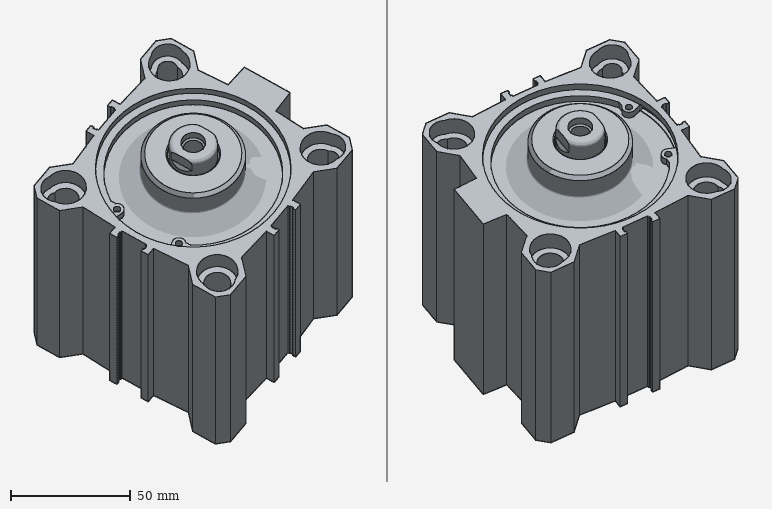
import cadquery as cq
import math


total_height = 124.0
rod_projection = 18.1
housing_height = total_height - rod_projection

half_side = 50.0
corner_chamfer = 4.6
lug_width = 16.1
lug_inset = 7.1
flank_face = half_side - lug_inset
wall_face = 43.9
rib_tip = 47.9
rib_outer = 9.8
side_root = flank_face
rib_inner = 6.2
rib_notch_depth = 0.5
rib_notch_start = 44.8
rib_notch_end = 46.4
boss_face = 55.0
boss_base_half_width = 12.2
boss_face_half_width = 11.7

bolt_offset = 38.6
bolt_diameter = 11.4
bolt_head_diameter = 17.4
relief_offset = 41.0
relief_diameter = 8.4
relief_head_diameter = 13.9
bolt_head_depth = 8.7

bore_diameter = 82.1
cover_diameter = 81.7
ring_diameter = 85.5
ring_inner_diameter = 75.1
ring_depth = 3.5
ring_thickness = 3.5
cover_depth = ring_depth + ring_thickness
cover_thickness = 12.4
bore_depth = cover_depth + cover_thickness
cone_diameter = 62.0
cone_rise = 5.3
cone_fillet = 1.0
collar_diameter = 44.0
collar_height = 10.3
collar_chamfer = 1.6
ring_lug_radius = 3.0
ring_lug_pitch_radius = 37.2
ring_lug_angle = 25.0
ring_lug_edge = 31.6
ring_hole_diameter = 3.0

rod_diameter = 20.6
rod_tip_fillet = 1.9
rod_relief_diameter = 22.0
rod_relief_depth = 2.5
rod_relief_chamfer = 0.5
flat_offset = 8.8
flat_height = 6.0
thread_diameter = 8.4
thread_entry_diameter = 10.3
thread_entry_depth = 3.7
thread_entry_taper = 0.5
thread_depth = 14.9
drill_point_angle = 118.0

bore_floor = housing_height - bore_depth
cover_face = housing_height - cover_depth
collar_top = housing_height + collar_height


def cylinder(diameter, bottom, top):
    """A cylinder on the Z axis between two levels."""
    return cq.Workplane("XY").workplane(offset=bottom).circle(diameter / 2).extrude(top - bottom)


def lugged_block():
    """Square block with a chamfered lug at each corner."""
    lug_start = half_side - lug_width
    flank_end = lug_start - lug_inset
    chamfer_start = half_side - corner_chamfer
    half_corner = [
        (chamfer_start, half_side),
        (lug_start, half_side),
        (flank_end, flank_face),
        (rib_outer, wall_face),
    ]
    mirrored = [(y, x) for x, y in reversed(half_corner)]
    corner = mirrored + half_corner
    outline = []
    for quarter in range(4):
        for x, y in corner:
            for _ in range(quarter):
                x, y = -y, x
            outline.append((x, y))
    return cq.Workplane("XY").polyline(outline).close().extrude(housing_height)


def sensor_rib():
    """One rib on the +X side, with the notch facing the rail's centre."""
    notch = rib_inner + rib_notch_depth
    return (
        cq.Workplane("XY")
        .polyline([
            (side_root, rib_inner),
            (rib_notch_start, rib_inner),
            (rib_notch_start, notch),
            (rib_notch_end, notch),
            (rib_notch_end, rib_inner),
            (rib_tip, rib_inner),
            (rib_tip, rib_outer),
            (side_root, rib_outer),
        ])
        .close()
        .extrude(housing_height)
    )


def port_boss():
    """Port boss on the +Y side, with slightly tapered flanks."""
    return (
        cq.Workplane("XY")
        .polyline([
            (-boss_base_half_width, side_root),
            (boss_base_half_width, side_root),
            (boss_face_half_width, boss_face),
            (-boss_face_half_width, boss_face),
        ])
        .close()
        .extrude(housing_height)
    )


def bolt_hole():
    """Stepped hole of the +X +Y corner."""
    hole = None
    head_floor = housing_height - bolt_head_depth
    for offset, diameter, head_diameter in (
        (bolt_offset, bolt_diameter, bolt_head_diameter),
        (relief_offset, relief_diameter, relief_head_diameter),
    ):
        stepped = cylinder(diameter, 0, housing_height).union(
            cylinder(head_diameter, head_floor, housing_height)
        )
        stepped = stepped.translate((offset, offset, 0))
        hole = stepped if hole is None else hole.union(stepped)
    return hole


def make_housing():
    body = lugged_block().union(port_boss())
    rib = sensor_rib()
    for rail_angle in (0, 180, 270):
        for one_rib in (rib, rib.mirror("XZ")):
            body = body.union(one_rib.rotate((0, 0, 0), (0, 0, 1), rail_angle))
    hole = bolt_hole()
    for corner_angle in (0, 90, 180, 270):
        body = body.cut(hole.rotate((0, 0, 0), (0, 0, 1), corner_angle))
    body = body.cut(cylinder(bore_diameter, bore_floor, housing_height))
    return body.cut(cylinder(ring_diameter, cover_face, cover_face + ring_thickness))


def make_cover():
    collar_radius = collar_diameter / 2
    relief_radius = rod_relief_diameter / 2
    relief_floor = collar_top - rod_relief_depth
    cover = (
        cq.Workplane("XZ")
        .polyline([
            (rod_diameter / 2, bore_floor),
            (cover_diameter / 2, bore_floor),
            (cover_diameter / 2, cover_face),
            (cone_diameter / 2, cover_face),
            (collar_radius, cover_face + cone_rise),
            (collar_radius, collar_top - collar_chamfer),
            (collar_radius - collar_chamfer, collar_top),
            (relief_radius + rod_relief_chamfer, collar_top),
            (relief_radius, collar_top - rod_relief_chamfer),
            (relief_radius, relief_floor),
            (rod_diameter / 2, relief_floor),
        ])
        .close()
        .revolve(360, (0, 0, 0), (0, 1, 0))
    )
    reach = cone_diameter / 2 + cone_fillet
    cone_box = cq.selectors.BoxSelector(
        (-reach, -reach, cover_face - cone_fillet),
        (reach, reach, cover_face + cone_rise + cone_fillet),
        boundingbox=True,
    )
    return cover.edges("%CIRCLE").edges(cone_box).fillet(cone_fillet)


def polar(radius, angle):
    """Point at an angle from the -Y direction, on the +X side."""
    return (radius * math.sin(math.radians(angle)), -radius * math.cos(math.radians(angle)))


def make_ring():
    ring_top = cover_face + ring_thickness
    middle_radius = (ring_diameter + ring_inner_diameter) / 4
    lug_centre = polar(ring_lug_pitch_radius, ring_lug_angle)
    tangent_angle = math.degrees(math.asin(ring_lug_radius / ring_lug_pitch_radius))
    end_angle = ring_lug_angle - tangent_angle
    tangent_radius = ring_lug_pitch_radius * math.cos(math.radians(tangent_angle))
    edge_angle = math.degrees(math.acos(ring_lug_edge / (ring_inner_diameter / 2)))

    plane = cq.Workplane("XY").workplane(offset=cover_face)
    ring = cylinder(ring_diameter, cover_face, ring_top)
    ring = ring.cut(cylinder(ring_inner_diameter, cover_face, ring_top))
    gap = plane.polyline([
        (0, 0),
        polar(ring_diameter, end_angle),
        polar(ring_diameter, -end_angle),
    ]).close().extrude(ring_thickness)
    ring = ring.cut(gap)

    web = plane.polyline([
        polar(ring_inner_diameter / 2, edge_angle),
        (lug_centre[0], -ring_lug_edge),
        lug_centre,
        polar(tangent_radius, end_angle),
        polar(middle_radius, end_angle),
        polar(middle_radius, edge_angle),
    ]).close().extrude(ring_thickness)
    eye = plane.center(*lug_centre).circle(ring_lug_radius).extrude(ring_thickness)
    eye_hole = plane.center(*lug_centre).circle(ring_hole_diameter / 2).extrude(ring_thickness)
    lug = web.union(eye).cut(eye_hole)
    for one_lug, one_hole in ((lug, eye_hole), (lug.mirror("YZ"), eye_hole.mirror("YZ"))):
        ring = ring.union(one_lug).cut(one_hole)
    return ring


def wrench_flat():
    """Cut for the flat on the +Y side, running out at 45 degrees."""
    flat_floor = total_height - flat_height
    return (
        cq.Workplane("YZ")
        .polyline([
            (flat_offset, total_height),
            (flat_offset, flat_floor),
            (flat_offset + rod_diameter, flat_floor - rod_diameter),
            (flat_offset + rod_diameter, total_height),
        ])
        .close()
        .extrude(rod_diameter, both=True)
    )


def thread_hole():
    """Tapped hole in the rod tip, with a wider entry and a drill point."""
    radius = thread_diameter / 2
    entry_radius = thread_entry_diameter / 2
    entry_floor = total_height - thread_entry_depth
    floor = total_height - thread_depth
    point = radius / math.tan(math.radians(drill_point_angle / 2))
    return (
        cq.Workplane("XZ")
        .polyline([
            (0, total_height),
            (entry_radius, total_height),
            (entry_radius, entry_floor),
            (radius, entry_floor - thread_entry_taper),
            (radius, floor),
            (0, floor - point),
        ])
        .close()
        .revolve(360, (0, 0, 0), (0, 1, 0))
    )


def make_rod():
    rod = cylinder(rod_diameter, bore_floor, total_height).faces(">Z").edges().fillet(rod_tip_fillet)
    flat = wrench_flat()
    return rod.cut(flat).cut(flat.mirror("XZ")).cut(thread_hole())


housing = make_housing()
cover = make_cover()
ring = make_ring()
rod = make_rod()

bodies = [housing, cover, ring, rod]
result = cq.Compound.makeCompound([body.solids().val() for body in bodies])